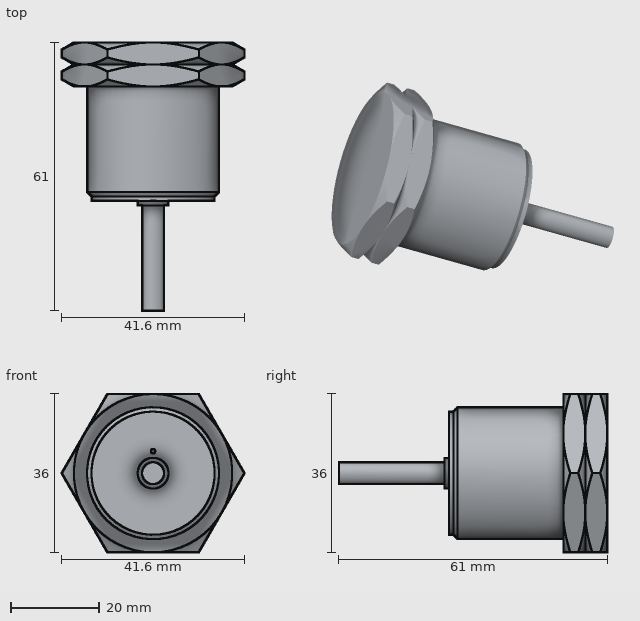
import cadquery as cq
import math


barrel_radius = 15.0
barrel_length = 36.0
rear_step_radius = 14.0
rear_step_length = 1.0
rear_chamfer = barrel_radius - rear_step_radius

collar_radius = 3.5
collar_length = 1.0
cable_radius = 2.5
cable_end = 61.0

indicator_radius = 0.5
indicator_height = 5.0

nut_count = 2
nut_sides = 6
nut_across_flats = 36.0
nut_thickness = 5.0
nut_chamfer_angle = 30.0
nut_face_radius = nut_across_flats / 2
nut_corner_radius = nut_face_radius / math.cos(math.pi / nut_sides)
nut_chamfer_depth = (nut_corner_radius - nut_face_radius) * math.tan(math.radians(nut_chamfer_angle))


def make_indicator_well():
    """Space around the indicator dome: a cylinder as deep as its radius, less the dome on its floor."""
    well = (
        cq.Workplane("XZ", origin=(0, -barrel_length + indicator_radius, indicator_height))
        .circle(indicator_radius)
        .extrude(indicator_radius)
    )
    dome = cq.Workplane("XY").sphere(indicator_radius).translate(
        (0, -barrel_length + indicator_radius, indicator_height)
    )
    return well.cut(dome)


def make_sensor():
    """Barrel, collar and cable as one turned body with the indicator in its rear face."""
    collar_end = barrel_length + collar_length
    step_start = barrel_length - rear_step_length
    profile = [
        (0, 0),
        (barrel_radius, 0),
        (barrel_radius, -(step_start - rear_chamfer)),
        (rear_step_radius, -step_start),
        (rear_step_radius, -barrel_length),
        (collar_radius, -barrel_length),
        (collar_radius, -collar_end),
        (cable_radius, -collar_end),
        (cable_radius, -cable_end),
        (0, -cable_end),
    ]
    turned = cq.Workplane("XY").polyline(profile).close().revolve(360, (0, 0, 0), (0, 1, 0))
    return turned.cut(make_indicator_well())



def make_nut(front_y):
    """Hex nut chamfered on both faces, its front face at front_y and its bore fitting the barrel."""
    hexagon = (
        cq.Workplane("XZ", origin=(0, front_y, 0))
        .polygon(nut_sides, 2 * nut_corner_radius)
        .extrude(nut_thickness)
    )
    back_y = front_y - nut_thickness
    envelope = (
        cq.Workplane("XY")
        .polyline([
            (barrel_radius, front_y),
            (nut_face_radius, front_y),
            (nut_corner_radius, front_y - nut_chamfer_depth),
            (nut_corner_radius, back_y + nut_chamfer_depth),
            (nut_face_radius, back_y),
            (barrel_radius, back_y),
        ])
        .close()
        .revolve(360, (0, 0, 0), (0, 1, 0))
    )
    return hexagon.intersect(envelope)


sensor = make_sensor()
nuts = [make_nut(-index * nut_thickness) for index in range(nut_count)]

result = cq.Compound.makeCompound([sensor.solids().val(), *[nut.solids().val() for nut in nuts]])